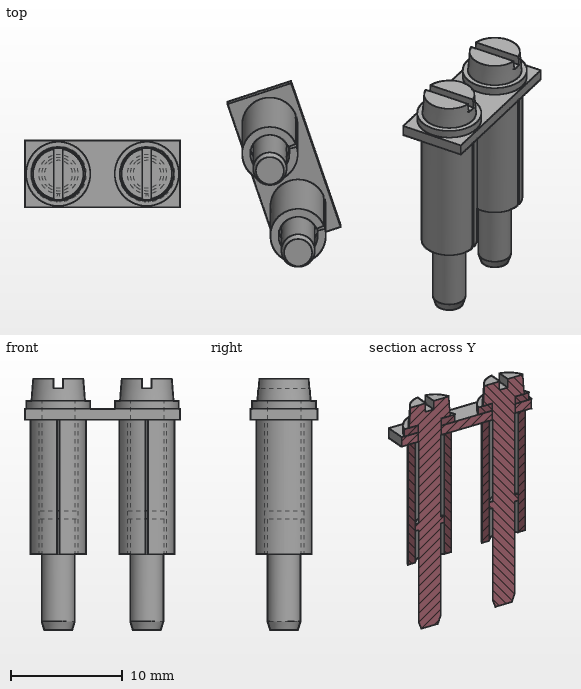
import cadquery as cq
import math

plate_length = 13.9
plate_width = 6.0
plate_thickness = 1.0
screw_spacing = 7.92

screw_length = 22.5
shank_diameter = 3.0
tip_diameter = 2.5
tip_height = 0.79
head_height = 1.98
head_base_diameter = 4.82
head_top_diameter = 4.5
slot_width = 0.83
slot_depth = 0.85

collar_bottom_z = 9.97
collar_height = 0.72

washer_diameter = 5.74
washer_thickness = 0.72

sleeve_diameter = 4.97
sleeve_bore_diameter = 3.5
sleeve_length = 12.02
slit_angle = 6.5

head_bottom_z = screw_length - head_height
plate_top_z = head_bottom_z - washer_thickness
plate_bottom_z = plate_top_z - plate_thickness
sleeve_bottom_z = plate_bottom_z - sleeve_length

screw_positions = [-screw_spacing / 2, screw_spacing / 2]


def make_plate():
    """Flat bridge with one screw hole at each end."""
    return (
        cq.Workplane("XY", origin=(0, 0, plate_bottom_z))
        .rect(plate_length, plate_width)
        .pushPoints([(x, 0) for x in screw_positions])
        .circle(shank_diameter / 2)
        .extrude(plate_thickness)
    )


def make_ring(x, bottom_z, outer_diameter, bore_diameter, height):
    """Plain ring around a screw axis."""
    return (
        cq.Workplane("XY", origin=(x, 0, bottom_z))
        .circle(outer_diameter / 2)
        .circle(bore_diameter / 2)
        .extrude(height)
    )


def make_washer(x):
    return make_ring(x, plate_top_z, washer_diameter, shank_diameter, washer_thickness)


def make_sleeve(x):
    """Tube with a full-length slit, narrowing inwards, through its front (-Y) wall."""
    tube = make_ring(x, sleeve_bottom_z, sleeve_diameter, sleeve_bore_diameter, sleeve_length)
    wedge_length = sleeve_diameter
    wedge_half_width = wedge_length * math.tan(math.radians(slit_angle / 2))
    slit = (
        cq.Workplane("XY", origin=(x, 0, sleeve_bottom_z))
        .polyline([(0, 0), (-wedge_half_width, -wedge_length), (wedge_half_width, -wedge_length)])
        .close()
        .extrude(sleeve_length)
    )
    return tube.cut(slit)


def make_screw(x):
    """Slotted screw with a tapered head, a collared shank and a tapered tip."""
    shank_radius = shank_diameter / 2
    collar_radius = sleeve_bore_diameter / 2
    collar_top_z = collar_bottom_z + collar_height
    half_profile = [
        (0, 0),
        (tip_diameter / 2, 0),
        (shank_radius, tip_height),
        (shank_radius, collar_bottom_z),
        (collar_radius, collar_bottom_z),
        (collar_radius, collar_top_z),
        (shank_radius, collar_top_z),
        (shank_radius, head_bottom_z),
        (head_base_diameter / 2, head_bottom_z),
        (head_top_diameter / 2, screw_length),
        (0, screw_length),
    ]
    body = cq.Workplane("XZ").polyline(half_profile).close().revolve(360, (0, 0), (0, 1))
    slot = (
        cq.Workplane("XY", origin=(0, 0, screw_length - slot_depth))
        .rect(slot_width, head_base_diameter)
        .extrude(slot_depth)
    )
    return body.cut(slot).translate((x, 0, 0))


bodies = [make_plate().val()]
for position in screw_positions:
    bodies.append(make_washer(position).val())
    bodies.append(make_sleeve(position).val())
    bodies.append(make_screw(position).val())

result = cq.Compound.makeCompound(bodies)